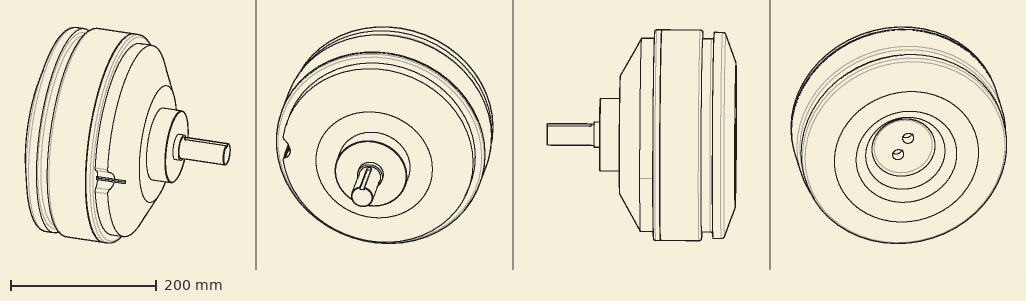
import cadquery as cq
import math

RIM_END = 30.2
DRUM_START = 45.8
DRUM_END = 112.0
SEAM_START = 102.0
HUB_END = 130.0
CONE_END = 159.0
FLANGE_END = 186.5
COLLAR_END = 194.3
SHAFT_END = 259.0

FACE_RADIUS = 100.0
RIM_RADIUS = 284.0 / 2
GROOVE_RADIUS = 266.0 / 2
DRUM_RADIUS = 145.0
HUB_RADIUS = GROOVE_RADIUS
CONE_END_RADIUS = 81.2
FLANGE_RADIUS = 100.0 / 2
COLLAR_RADIUS = 35.0 / 2
SHAFT_RADIUS = 30.0 / 2

FRONT_CONE_LENGTH = 15.5
RIM_FILLET = 5.0
GROOVE_FILLET = 3.5
DRUM_REAR_FILLET = DRUM_RADIUS - 284.0 / 2
DRUM_FRONT_FILLET = 3.5
END_CHAMFER = 1.0

SEAM_WIDTH = 0.44
SEAM_DEPTH = 1.5

RECESS_MOUTH_RADIUS = 70.0
RECESS_STEP_RADIUS = 55.0
RECESS_WALL_RADIUS = 43.8
RECESS_STEP_DEPTH = 11.0
RECESS_DEPTH = 32.0
RECESS_FILLET = 3.5

HOLE_DIAMETER = 15.5
HOLE_DEPTH = 17.5
HOLE_TIP_ANGLE = 118
HOLE_CIRCLE_RADIUS = 14.0
HOLE_ANGLES = (120, 300)

KEYWAY_WIDTH = 6.0
KEYWAY_START = 197.5
KEYWAY_DEPTH = 3.5

CHANNEL_RADIUS = 15.0
CHANNEL_FLOOR = 121.0
CHANNEL_LIP = 5.0

WIRE_DIAMETER = 2.0
WIRE_SPACING = 2.3
WIRE_RADIAL_POSITION = 125.3
WIRE_END = 153.0
WIRE_EMBED = 3.0


def revolve_about_x(profile):
    return profile.close().revolve(360, (0, 0, 0), (1, 0, 0))


def add_arc(profile, center_x, center_r, radius, start_angle, end_angle):
    """Continue an outline with an arc about a center, angles in degrees."""
    def on_arc(angle):
        a = math.radians(angle)
        return center_x + radius * math.cos(a), center_r + radius * math.sin(a)
    return profile.threePointArc(on_arc((start_angle + end_angle) / 2), on_arc(end_angle))


def make_body():
    cone_angle = math.degrees(math.atan2(RIM_RADIUS - FACE_RADIUS, FRONT_CONE_LENGTH))
    half_turn = math.radians(cone_angle / 2)
    rim_fillet_x = FRONT_CONE_LENGTH + RIM_FILLET * math.tan(half_turn)
    rim_fillet_r = RIM_RADIUS - RIM_FILLET
    cone_normal = math.radians(90 + cone_angle)

    p = cq.Workplane("XY").moveTo(0, 0).lineTo(0, FACE_RADIUS)
    p = p.lineTo(rim_fillet_x + RIM_FILLET * math.cos(cone_normal),
                 rim_fillet_r + RIM_FILLET * math.sin(cone_normal))
    p = add_arc(p, rim_fillet_x, rim_fillet_r, RIM_FILLET, 90 + cone_angle, 90)
    p = p.lineTo(RIM_END, RIM_RADIUS).lineTo(RIM_END, GROOVE_RADIUS + GROOVE_FILLET)
    p = add_arc(p, RIM_END + GROOVE_FILLET, GROOVE_RADIUS + GROOVE_FILLET, GROOVE_FILLET, 180, 270)
    p = p.lineTo(DRUM_START, GROOVE_RADIUS).lineTo(DRUM_START, DRUM_RADIUS - DRUM_FRONT_FILLET)
    p = add_arc(p, DRUM_START + DRUM_FRONT_FILLET, DRUM_RADIUS - DRUM_FRONT_FILLET, DRUM_FRONT_FILLET, 180, 90)
    p = p.lineTo(SEAM_START, DRUM_RADIUS).lineTo(SEAM_START, DRUM_RADIUS - SEAM_DEPTH)
    p = p.lineTo(SEAM_START + SEAM_WIDTH, DRUM_RADIUS - SEAM_DEPTH)
    p = p.lineTo(SEAM_START + SEAM_WIDTH, DRUM_RADIUS)
    p = p.lineTo(DRUM_END - DRUM_REAR_FILLET, DRUM_RADIUS)
    p = add_arc(p, DRUM_END - DRUM_REAR_FILLET, DRUM_RADIUS - DRUM_REAR_FILLET, DRUM_REAR_FILLET, 90, 0)
    p = p.lineTo(DRUM_END, HUB_RADIUS).lineTo(HUB_END, HUB_RADIUS)
    p = p.lineTo(CONE_END, CONE_END_RADIUS).lineTo(CONE_END, FLANGE_RADIUS)
    p = p.lineTo(FLANGE_END - END_CHAMFER, FLANGE_RADIUS).lineTo(FLANGE_END, FLANGE_RADIUS - END_CHAMFER)
    p = p.lineTo(FLANGE_END, COLLAR_RADIUS).lineTo(COLLAR_END, COLLAR_RADIUS)
    p = p.lineTo(COLLAR_END, SHAFT_RADIUS).lineTo(SHAFT_END - END_CHAMFER, SHAFT_RADIUS)
    p = p.lineTo(SHAFT_END, SHAFT_RADIUS - END_CHAMFER).lineTo(SHAFT_END, 0)
    return revolve_about_x(p)


def make_recess():
    fillet_start = RECESS_DEPTH - RECESS_FILLET
    p = cq.Workplane("XY").moveTo(0, 0).lineTo(0, RECESS_MOUTH_RADIUS)
    p = p.lineTo(RECESS_STEP_DEPTH, RECESS_STEP_RADIUS).lineTo(fillet_start, RECESS_WALL_RADIUS)
    p = add_arc(p, fillet_start, RECESS_WALL_RADIUS - RECESS_FILLET, RECESS_FILLET, 90, 0)
    return revolve_about_x(p.lineTo(RECESS_DEPTH, 0))


def make_floor_hole(angle):
    radius = HOLE_DIAMETER / 2
    bottom = RECESS_DEPTH + HOLE_DEPTH
    tip = bottom + radius / math.tan(math.radians(HOLE_TIP_ANGLE / 2))
    p = cq.Workplane("XY").moveTo(RECESS_DEPTH, 0).lineTo(RECESS_DEPTH, radius)
    hole = revolve_about_x(p.lineTo(bottom, radius).lineTo(tip, 0))
    a = math.radians(angle)
    return hole.translate((0, HOLE_CIRCLE_RADIUS * math.cos(a), HOLE_CIRCLE_RADIUS * math.sin(a)))


def make_keyway():
    half_width = KEYWAY_WIDTH / 2
    round_center = KEYWAY_START + half_width
    p = cq.Workplane("XY").workplane(offset=SHAFT_RADIUS - KEYWAY_DEPTH)
    p = p.moveTo(SHAFT_END, half_width).lineTo(round_center, half_width)
    p = p.threePointArc((KEYWAY_START, 0), (round_center, -half_width))
    return p.lineTo(SHAFT_END, -half_width).close().extrude(KEYWAY_DEPTH)


def make_channel():
    """Cutter along X whose section is a round groove with lips tangent to the hub."""
    center = CHANNEL_FLOOR + CHANNEL_RADIUS
    to_axis = HUB_RADIUS - CHANNEL_LIP
    to_channel = CHANNEL_RADIUS + CHANNEL_LIP
    lip_y = (to_axis**2 - to_channel**2 + center**2) / (2 * center)
    lip_z = math.sqrt(to_axis**2 - lip_y**2)
    groove_blend = CHANNEL_RADIUS / to_channel
    groove_y = center + (lip_y - center) * groove_blend
    groove_z = lip_z * groove_blend
    hub_y = lip_y * HUB_RADIUS / to_axis
    hub_z = lip_z * HUB_RADIUS / to_axis
    chord_y = (groove_y + hub_y) / 2 - lip_y
    chord_z = (groove_z + hub_z) / 2 - lip_z
    stretch = CHANNEL_LIP / math.hypot(chord_y, chord_z)
    mid_y = lip_y + chord_y * stretch
    mid_z = lip_z + chord_z * stretch

    p = cq.Workplane("YZ").workplane(offset=DRUM_END).moveTo(-hub_y, hub_z)
    p = p.threePointArc((-mid_y, mid_z), (-groove_y, groove_z))
    p = p.threePointArc((-CHANNEL_FLOOR, 0), (-groove_y, -groove_z))
    p = p.threePointArc((-mid_y, -mid_z), (-hub_y, -hub_z))
    p = p.lineTo(-DRUM_RADIUS, -hub_z).lineTo(-DRUM_RADIUS, hub_z).close()
    return p.extrude(CONE_END - DRUM_END)


def make_wires():
    start = DRUM_END - WIRE_EMBED
    places = [(-WIRE_RADIAL_POSITION, side * WIRE_SPACING / 2) for side in (-1, 1)]
    plane = cq.Workplane("YZ").workplane(offset=start)
    return plane.pushPoints(places).circle(WIRE_DIAMETER / 2).extrude(WIRE_END - start)


result = make_body().cut(make_recess())
for hole_angle in HOLE_ANGLES:
    result = result.cut(make_floor_hole(hole_angle))
result = result.cut(make_keyway()).cut(make_channel()).union(make_wires())